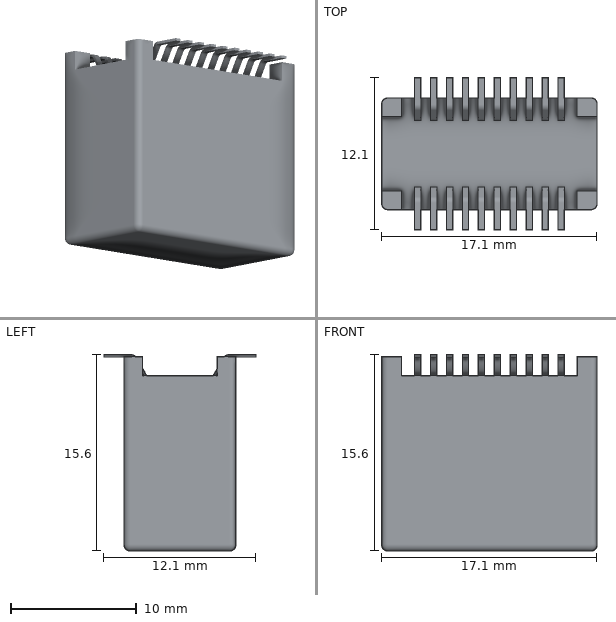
import cadquery as cq
import math

body_length = 17.15
body_width = 8.9
overall_height = 15.62
lead_rise = 0.15
body_height = overall_height - lead_rise
edge_radius = 0.5

post_length = 1.6
post_width = 1.5
post_height = 1.51
floor_z = body_height - post_height

lead_span = 12.1
leads_per_row = 10
lead_pitch = 1.27
lead_width = 0.51
lead_thickness = 0.2
lead_flat_length = 2.16
bend_outer_radius = 0.5
bend_inner_radius = bend_outer_radius - lead_thickness
bend_angle = 60.0
lead_embed_depth = 0.35


def make_housing():
    """Rounded block with the upper face cut down to leave four corner posts."""
    block = cq.Workplane("XY").box(body_length, body_width, body_height, centered=(True, True, False))
    block = block.edges("|Z").fillet(edge_radius)
    block = block.faces("<Z").edges().fillet(edge_radius)
    floor = cq.Workplane("XY").workplane(offset=floor_z)
    cut_along_x = floor.rect(body_length, body_width - 2 * post_width).extrude(post_height)
    cut_along_y = floor.rect(body_length - 2 * post_length, body_width).extrude(post_height)
    return block.cut(cut_along_x).cut(cut_along_y)


def make_lead():
    """Bent strip on the +Y side, centred on X = 0: a flat foot, a bend and a sloping leg."""
    angle = math.radians(bend_angle)
    tip_y = lead_span / 2
    bend_y = tip_y - lead_flat_length
    bend_z = overall_height - bend_outer_radius
    root_z = floor_z - lead_embed_depth

    def on_bend(radius, turn):
        return (bend_y - radius * math.sin(turn), bend_z + radius * math.cos(turn))

    def leg_root(radius):
        y, z = on_bend(radius, angle)
        return (y - (z - root_z) / math.tan(angle), root_z)

    profile = (
        cq.Workplane("YZ")
        .moveTo(tip_y, overall_height)
        .lineTo(*on_bend(bend_outer_radius, 0))
        .threePointArc(on_bend(bend_outer_radius, angle / 2), on_bend(bend_outer_radius, angle))
        .lineTo(*leg_root(bend_outer_radius))
        .lineTo(*leg_root(bend_inner_radius))
        .lineTo(*on_bend(bend_inner_radius, angle))
        .threePointArc(on_bend(bend_inner_radius, angle / 2), on_bend(bend_inner_radius, 0))
        .lineTo(tip_y, overall_height - lead_thickness)
        .close()
    )
    return profile.extrude(lead_width / 2, both=True)


result = make_housing()
lead = make_lead()
opposite_lead = lead.mirror("XZ")
for index in range(leads_per_row):
    lead_x = (index - (leads_per_row - 1) / 2) * lead_pitch
    result = result.union(lead.translate((lead_x, 0, 0)))
    result = result.union(opposite_lead.translate((lead_x, 0, 0)))